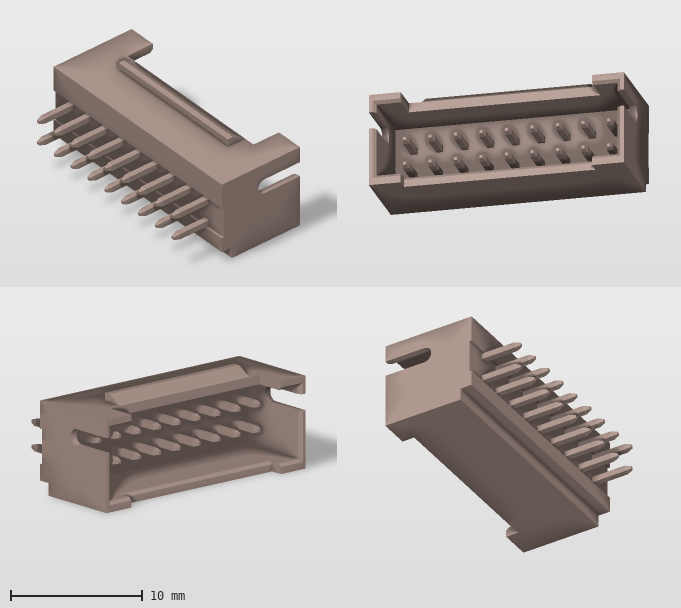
import cadquery as cq


length = 20.0
depth = 7.7
height = 7.3
step_size = 1.0
recess_depth = 0.2
recess_bottom = 2.3
recess_top = 5.08

end_wall = 0.55
top_wall = 0.75
bottom_wall = 0.8
cavity_depth = 6.0
lead_in = 0.25

notch_length = 15.0
top_notch_depth = 2.5
bottom_notch_depth = 1.05
slot_width = 1.3
slot_depth = 4.1
slot_center_z = 5.25

ridge_length = 13.0
ridge_height = 0.7
ridge_front = depth - top_notch_depth
ridge_crest = 4.0
ridge_back = 3.5

row_count = 2
pins_per_row = 9
pitch = 2.0
lower_row_z = 2.7
pin_size = 0.5
pin_tip_size = 0.25
pin_taper = 0.5
tail_length = 3.2
contact_setback = 3.08


def box(x_size, y_min, y_max, z_min, z_max):
    """Block centred on X = 0 between the given Y and Z limits."""
    block = cq.Workplane("XY", origin=(0, y_min, z_min))
    return block.box(x_size, y_max - y_min, z_max - z_min, centered=(True, False, False))


def prism(points, x_size):
    """Extrude a closed (Y, Z) outline along X, centred on X = 0."""
    return cq.Workplane("YZ").polyline(points).close().extrude(x_size / 2, both=True)


def make_shell():
    """Stepped block with the tail-side channel."""
    outline = [
        (step_size, 0),
        (depth, 0),
        (depth, height),
        (0, height),
        (0, recess_top),
        (recess_depth, recess_top),
        (recess_depth, recess_bottom),
        (0, recess_bottom),
        (0, step_size),
        (step_size, step_size),
    ]
    return prism(outline, length)


def make_cavity():
    """Mating cavity with a mouth flared at 45 degrees on all four sides."""
    width = length - 2 * end_wall
    cavity_top = height - top_wall
    cavity = box(width, depth - cavity_depth, depth, bottom_wall, cavity_top)
    mouth = (
        cq.Workplane("XZ", origin=(0, depth, (bottom_wall + cavity_top) / 2))
        .rect(width + 2 * lead_in, cavity_top - bottom_wall + 2 * lead_in)
        .workplane(offset=lead_in)
        .rect(width, cavity_top - bottom_wall)
        .loft(ruled=True)
    )
    return cavity.union(mouth)


def make_top_notch():
    return box(notch_length, depth - top_notch_depth, depth, height - top_wall, height)


def make_bottom_notch():
    """Notch in the bottom wall, with a lead-in along its inner edge."""
    edge_y = depth - bottom_notch_depth
    outline = [
        (depth, 0),
        (edge_y, 0),
        (edge_y, bottom_wall - lead_in),
        (edge_y - lead_in, bottom_wall),
        (depth, bottom_wall),
    ]
    return prism(outline, notch_length)


def make_end_slots():
    """Round-ended slot through both end walls, open at the mouth."""
    radius = slot_width / 2
    arc_center_y = depth - slot_depth + radius
    slot_bottom = slot_center_z - radius
    straight = box(length, arc_center_y, depth, slot_bottom, slot_bottom + slot_width)
    round_end = (
        cq.Workplane("YZ")
        .center(arc_center_y, slot_center_z)
        .circle(radius)
        .extrude(length / 2, both=True)
    )
    return straight.union(round_end)


def make_ridge():
    outline = [
        (ridge_back, height),
        (ridge_front, height),
        (ridge_crest, height + ridge_height),
        (ridge_back, height + ridge_height),
    ]
    return prism(outline, ridge_length)


def make_pin():
    """Square pin along Y with a tapered tip at each end."""
    shank_start = pin_taper - tail_length
    shank_end = depth - contact_setback - pin_taper
    shank = (
        cq.Workplane("XZ", origin=(0, shank_end, 0))
        .rect(pin_size, pin_size)
        .extrude(shank_end - shank_start)
    )
    for end_face in ("<Y", ">Y"):
        tip = (
            shank.faces(end_face)
            .workplane()
            .rect(pin_size, pin_size)
            .workplane(offset=pin_taper)
            .rect(pin_tip_size, pin_tip_size)
            .loft(combine=False)
        )
        shank = shank.union(tip)
    return shank


result = (
    make_shell()
    .cut(make_cavity())
    .cut(make_top_notch())
    .cut(make_bottom_notch())
    .cut(make_end_slots())
    .union(make_ridge())
)

pin = make_pin()
for row in range(row_count):
    for column in range(pins_per_row):
        pin_x = (column - (pins_per_row - 1) / 2) * pitch
        result = result.union(pin.translate((pin_x, 0, lower_row_z + row * pitch)))